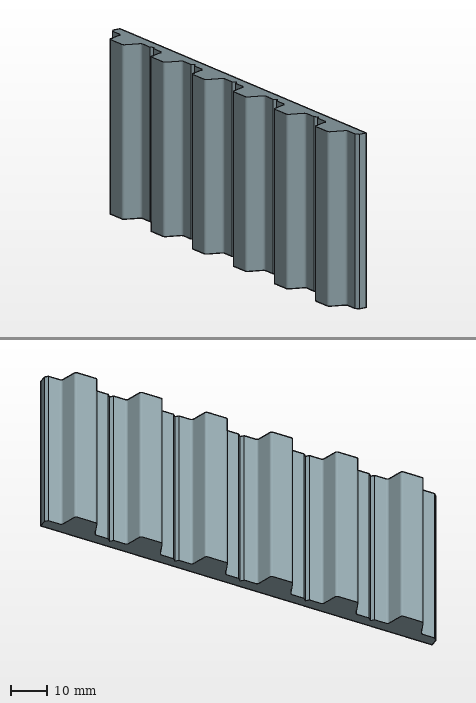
import cadquery as cq
import math

length = 120.0
width = 50.0
total_depth = 8.0
backing_depth = 3.1
tooth_count = 6
tip_width = 6.6
flank_angle = 20.0
tooth_radius = 0.8
notch_depth = 0.8

pitch = length / tooth_count
tooth_height = total_depth - backing_depth
flank_run = tooth_height * math.tan(math.radians(flank_angle))
tip_half = tip_width / 2
root_half = tip_half + flank_run


def make_backing():
    """Flat strip carrying the teeth."""
    return cq.Workplane("XY").box(length, backing_depth, width).translate((0, -backing_depth / 2, 0))


def add_tooth(body, center_x):
    """Join one trapezoidal tooth, running the full width, to the body."""
    tooth = (
        cq.Workplane("XY", origin=(center_x, 0, -width / 2))
        .moveTo(-root_half, -backing_depth)
        .lineTo(-tip_half, -total_depth)
        .lineTo(tip_half, -total_depth)
        .lineTo(root_half, -backing_depth)
        .close()
        .extrude(width)
    )
    return body.union(tooth)


def round_tooth(body, center_x):
    """Round the two tip corners and two root corners of one tooth."""
    margin = tooth_radius / 2
    edge_zone = cq.selectors.BoxSelector(
        (center_x - root_half - margin, -total_depth - margin, -margin),
        (center_x + root_half + margin, -backing_depth + margin, margin),
    )
    return body.edges("|Z").edges(edge_zone).fillet(tooth_radius)


def cut_notch(body, center_x):
    """Cut a V-notch into the toothed side of the backing."""
    notch = (
        cq.Workplane("XY", origin=(center_x, 0, -width / 2))
        .moveTo(-notch_depth, -backing_depth)
        .lineTo(0, -backing_depth + notch_depth)
        .lineTo(notch_depth, -backing_depth)
        .close()
        .extrude(width)
    )
    return body.cut(notch)


result = make_backing()
tooth_centers = [(i + 0.5) * pitch - length / 2 for i in range(tooth_count)]
for x in tooth_centers:
    result = add_tooth(result, x)
for x in tooth_centers:
    result = round_tooth(result, x)

for i in range(tooth_count + 1):
    result = cut_notch(result, i * pitch - length / 2)